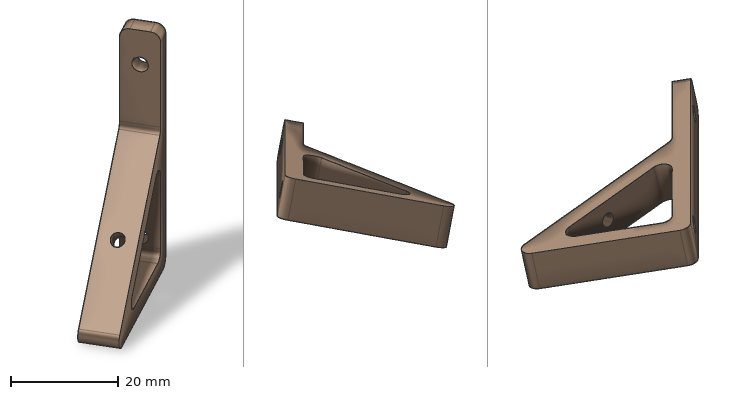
import cadquery as cq
import math

width = 8.0
height = 53.0
bar = 3.5
leg = 35.0
corner_radius = 2.0
screw_diameter = 3.2
screw_end_distance = 7.5
brace_hole_diameter = 2.8
brace_hole_z = 16.1

inner_leg = leg - 2 * bar - bar * math.sqrt(2)


def side_plate(points):
    """Extrude a (y, z) outline symmetrically across the width."""
    return cq.Workplane("YZ").polyline(points).close().extrude(width / 2, both=True)


def cylinder(diameter, length, start, direction):
    """Round cutter running from start along direction."""
    return cq.Workplane(
        cq.Solid.makeCylinder(diameter / 2, length, cq.Vector(*start), cq.Vector(*direction))
    )


outline = [(0, 0), (-leg, 0), (-bar, leg - bar), (-bar, height), (0, height)]
body = side_plate(outline).edges("|X").edges("<Z or <Y").fillet(corner_radius)
bend = cq.selectors.NearestToPointSelector((0, -bar, leg - bar))
body = body.edges("|X").edges(bend).fillet(corner_radius)

body = body.faces(">Z").edges("|Y").fillet(corner_radius)

window = side_plate([(-bar, bar), (-bar - inner_leg, bar), (-bar, bar + inner_leg)])
body = body.cut(window.edges("|X").fillet(corner_radius))

for screw_z in (screw_end_distance, height - screw_end_distance):
    body = body.cut(cylinder(screw_diameter, bar, (0, -bar, screw_z), (0, 1, 0)))

brace_hole_start = (0, brace_hole_z - leg, brace_hole_z)
result = body.cut(cylinder(brace_hole_diameter, bar, brace_hole_start, (0, 1, -1)))